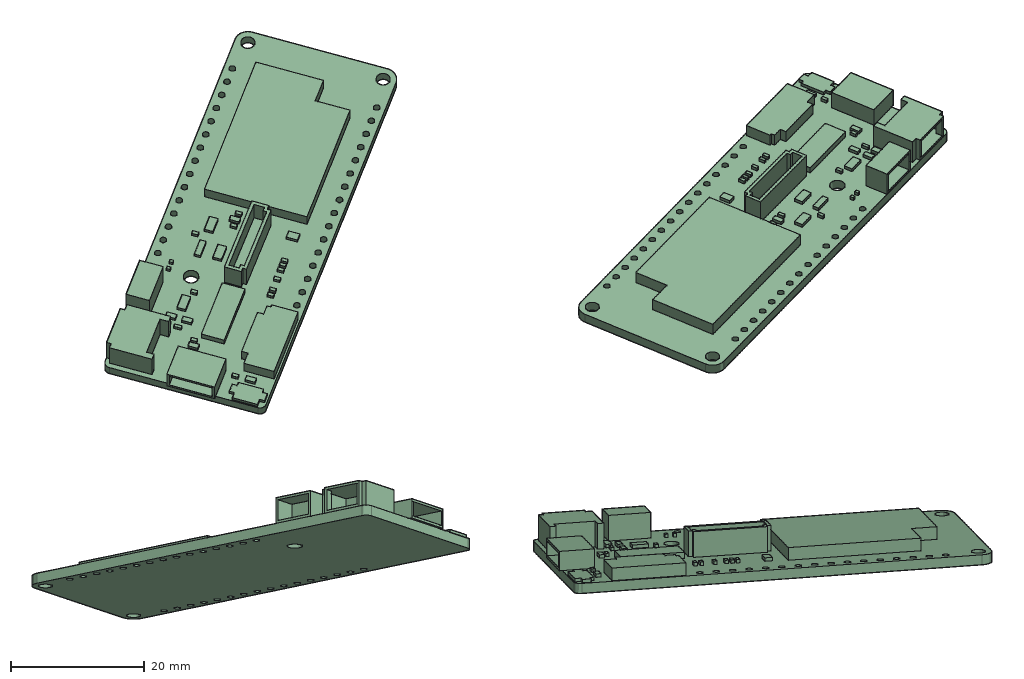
import cadquery as cq


board_width = 25.4
board_length = 65.05
board_thickness = 1.6
rear_corner_radius = 2.0
front_corner_radius = 1.0
left_edge = -board_width / 2

mount_hole_diameter = 2.1
mount_hole_inset = rear_corner_radius
mount_hole_x = board_width / 2 - mount_hole_inset
mount_hole_y = board_length - mount_hole_inset
centre_hole_diameter = 2.3
centre_hole_position = (-5.3, 19.65)
pin_hole_diameter = 1.0
pin_hole_x = 11.4
first_pin_hole_y = 57.8
left_pin_holes = 15
right_pin_holes = 16
pin_row_span = 38.1
pin_pitch = pin_row_span / (right_pin_holes - 1)

small_part_height = 0.5
chip_height = 1.0
chip_x = (-0.3, 3.3)
chip_y = (9.5, 19.4)
button_body_x = (7.6, 11.6)
button_body_y = (0.2, 3.15)
button_wing_x = (6.8, 12.4)
button_wing_y = (1.2, 2.55)

small_parts = [
    (
        (1.0, 0.5),
        [(-2.1, 32.6), (-2.1, 30.25), (-7.15, 27.1), (7.15, 26.6), (7.15, 25.75), (7.15, 24.8),
         (7.15, 23.05), (7.15, 20.95), (7.15, 20.0), (-3.9, 16.9), (-1.2, 8.5), (6.75, 4.25)],
    ),
    ((1.6, 0.8), [(-2.3, 31.45), (-5.8, 11.65), (-3.3, 11.65), (-0.9, 7.5), (9.2, 4.3)]),
    ((1.4, 2.5), [(-5.4, 29.4), (-2.55, 24.95), (-4.8, 14.55)]),
    ((0.6, 0.45), [(-8.9, 21.1), (-8.9, 19.8)]),
    ((1.8, 1.2), [(6.95, 31.25)]),
    ((1.0, 2.75), [(-5.6, 24.75)]),
    ((2.15, 1.0), [(-6.55, 10.0)]),
    ((1.2, 0.45), [(-4.25, 10.1)]),
]

module_height = 1.95
module_x = (-8.0, 8.2)
module_y = (34.2, 58.7)
module_notch_x = 2.7
module_notch_y = 54.75

tall_height = 4.0
wall = 0.4

socket_wall = 0.5
socket_x = (-0.2, 2.5)
socket_y = (20.25, 33.0)
socket_key_x = 3.1
socket_key_inset = 0.65
socket_turn = -0.5

small_side_depth = 3.75
small_side_y = (10.9, 17.4)
large_side_mouth_y = (1.6, 8.1)
large_side_y = (0.8, 9.1)
large_side_shoulder_x = -12.0
large_side_back_x = -6.4
large_side_front_tab_x = -5.25
large_side_rear_tab_x = -5.05
large_side_tab_width = 1.0

right_height = 1.95
right_x = (7.6, 12.4)
right_y = (5.75, 17.2)
right_bump_x = 6.6
right_bump_y = (7.7, 15.25)
right_notch_length = 0.6
right_notch_width = 0.4

usb_height = 3.0
usb_x = (-2.5, 5.05)
usb_back_y = 5.0
usb_overhang = 0.45


def block(x_range, y_range, z_range):
    """Box filling the given ranges along X, Y and Z."""
    size = [high - low for low, high in (x_range, y_range, z_range)]
    return cq.Workplane("XY").box(*size, centered=False).translate((x_range[0], y_range[0], z_range[0]))


def on_board(x_range, y_range, height):
    """Box standing on the top face of the board."""
    return block(x_range, y_range, (board_thickness, board_thickness + height))


def inside_height(height):
    """Range along Z between the floor and the roof of a hollow connector."""
    return (board_thickness + wall, board_thickness + height - wall)


def inset(limits, margin):
    """Range shortened by the margin at both ends."""
    return (limits[0] + margin, limits[1] - margin)


def make_board_plate():
    plate = cq.Workplane("XY").box(
        board_width, board_length, board_thickness, centered=(True, False, False)
    )
    plate = plate.edges("|Z and >Y").fillet(rear_corner_radius)
    return plate.edges("|Z and <Y").fillet(front_corner_radius)


def drill(plate, points, diameter):
    cutter = cq.Workplane("XY").pushPoints(points).circle(diameter / 2).extrude(board_thickness)
    return plate.cut(cutter)


def pin_row(x, count):
    return [(x, first_pin_hole_y - i * pin_pitch) for i in range(count)]


def make_small_parts(size, centres):
    points = cq.Workplane("XY").workplane(offset=board_thickness).pushPoints(centres)
    return points.rect(*size).extrude(small_part_height)


def make_button():
    body = on_board(button_body_x, button_body_y, small_part_height)
    wings = on_board(button_wing_x, button_wing_y, small_part_height)
    return body.union(wings)


def make_board():
    board = make_board_plate()
    mount_holes = [(-mount_hole_x, mount_hole_y), (mount_hole_x, mount_hole_y)]
    board = drill(board, mount_holes, mount_hole_diameter)
    board = drill(board, [centre_hole_position], centre_hole_diameter)
    pin_holes = pin_row(-pin_hole_x, left_pin_holes) + pin_row(pin_hole_x, right_pin_holes)
    board = drill(board, pin_holes, pin_hole_diameter)
    for size, centres in small_parts:
        board = board.union(make_small_parts(size, centres))
    board = board.union(on_board(chip_x, chip_y, chip_height))
    return board.union(make_button())


def make_module():
    notch = on_board((module_notch_x, module_x[1]), (module_notch_y, module_y[1]), module_height)
    return on_board(module_x, module_y, module_height).cut(notch)


def socket_prism(margin, z_range):
    """Keyed socket outline, moved inwards by the margin and filling the range along Z."""
    main = block(inset(socket_x, margin), inset(socket_y, margin), z_range)
    key = block(
        inset((socket_x[0], socket_key_x), margin), inset(socket_y, socket_key_inset + margin), z_range
    )
    return main.union(key)


def make_socket():
    """Keyed box, open at the top and turned slightly about its own centre."""
    top = board_thickness + tall_height
    outside = socket_prism(0, (board_thickness, top))
    cavity = socket_prism(socket_wall, (board_thickness + socket_wall, top))
    centre_x = sum(socket_x) / 2
    centre_y = sum(socket_y) / 2
    axis_ends = ((centre_x, centre_y, 0), (centre_x, centre_y, 1))
    return outside.cut(cavity).rotate(*axis_ends, socket_turn)


def make_small_side_connector():
    """Box open towards -X."""
    back = left_edge + small_side_depth
    outside = on_board((left_edge, back), small_side_y, tall_height)
    cavity = block((left_edge, back - wall), inset(small_side_y, wall), inside_height(tall_height))
    return outside.cut(cavity)


def make_large_side_connector():
    """Box open towards -X, with a narrow mouth, a wider chamber and two tabs at the back."""
    front, rear = large_side_y
    chamber_x = (large_side_shoulder_x, large_side_back_x)
    mouth_x = (left_edge, large_side_back_x)
    outside = on_board(chamber_x, large_side_y, tall_height)
    outside = outside.union(on_board(mouth_x, large_side_mouth_y, tall_height))
    front_tab_x = (large_side_back_x, large_side_front_tab_x)
    outside = outside.union(on_board(front_tab_x, (front, front + large_side_tab_width), tall_height))
    rear_tab_x = (large_side_back_x, large_side_rear_tab_x)
    outside = outside.union(on_board(rear_tab_x, (rear - large_side_tab_width, rear), tall_height))

    cavity_z = inside_height(tall_height)
    chamber = block(inset(chamber_x, wall), inset(large_side_y, wall), cavity_z)
    mouth = block((left_edge, large_side_back_x - wall), inset(large_side_mouth_y, wall), cavity_z)
    return outside.cut(chamber).cut(mouth)


def make_right_connector():
    """Solid block with a step towards -X and a small notch in its rear left corner."""
    body = on_board(right_x, right_y, right_height)
    notch_x = (right_x[0], right_x[0] + right_notch_length)
    notch_y = (right_y[1] - right_notch_width, right_y[1])
    body = body.cut(on_board(notch_x, notch_y, right_height))
    return body.union(on_board((right_bump_x, right_x[0]), right_bump_y, right_height))


def make_usb_socket():
    """Box open towards -Y, standing out over the front edge of the board."""
    outside = on_board(usb_x, (-usb_overhang, usb_back_y), usb_height)
    cavity = block(inset(usb_x, wall), (-usb_overhang, usb_back_y - wall), inside_height(usb_height))
    return outside.cut(cavity)


board = make_board()
module = make_module()
socket = make_socket()
small_side_connector = make_small_side_connector()
large_side_connector = make_large_side_connector()
right_connector = make_right_connector()
usb_socket = make_usb_socket()

result = cq.Compound.makeCompound(
    [
        board.val(),
        module.val(),
        socket.val(),
        small_side_connector.val(),
        large_side_connector.val(),
        right_connector.val(),
        usb_socket.val(),
    ]
)